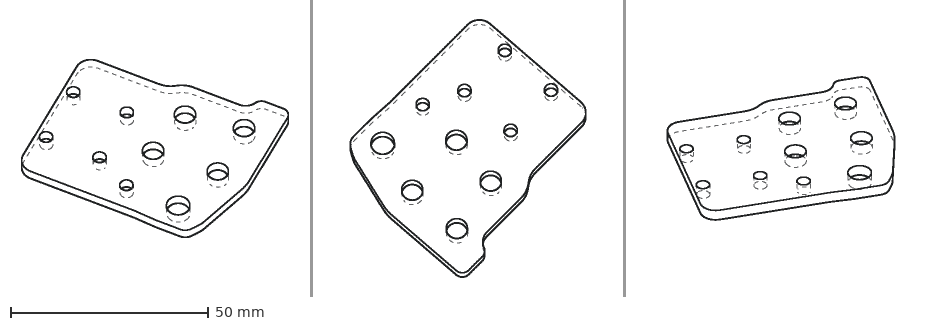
import cadquery as cq

length = 55.3
depth = 46.3
thickness = 3.0

left_level = 39.75
middle_level = 42.6
left_step_start = 21.25
left_step_end = 29.55
tab_step_start = 42.4
tab_step_end = 48.0
left_step_blend = 0.5
tab_step_blend = 0.62
tab_radius = 2.2

left_radius = 4.0
front_level = 0.4
front_slope_start = 33.1
front_slope_end = 39.5

corner_start = (46.25, 0)
corner_middle = (48.65, 1.25)
corner_end = (50.5, 4.3)
slant_top = (54.8, 18.35)
right_side_start = 21.7

small_diameter = 3.4
medium_diameter = 5.4
large_diameter = 6.0
grid_columns = (2.75, 17.8)
grid_rows = (12.05, 28.05)
small_holes = [(x, y) for x in grid_columns for y in grid_rows] + [(27.8, 6.9)]
right_column = 46.8
medium_holes = [(right_column, 36.35), (right_column, 20.9), (31.4, 33.8), (29.15, 19.8)]
large_holes = [(42.45, 6.7)]


def step_down(outline, start, end, blend):
    """Join two parallel edges with tangent arcs, from the upper end to the lower start."""
    junction = tuple(low + blend * (high - low) for low, high in zip(start, end))
    return outline.tangentArcPoint(junction, relative=False).tangentArcPoint(start, relative=False)


def make_plate():
    outline = (
        cq.Workplane("XY")
        .moveTo(left_radius, front_level)
        .lineTo(front_slope_start, front_level)
        .lineTo(front_slope_end, 0)
        .lineTo(*corner_start)
        .tangentArcPoint(corner_middle, relative=False)
        .tangentArcPoint(corner_end, relative=False)
        .lineTo(*slant_top)
        .tangentArcPoint((length, right_side_start), relative=False)
        .lineTo(length, depth - tab_radius)
        .tangentArcPoint((length - tab_radius, depth), relative=False)
        .lineTo(tab_step_end, depth)
    )
    outline = step_down(outline, (tab_step_start, middle_level), (tab_step_end, depth), tab_step_blend)
    outline = outline.lineTo(left_step_end, middle_level)
    left_step_low = (left_step_start, left_level)
    left_step_high = (left_step_end, middle_level)
    outline = step_down(outline, left_step_low, left_step_high, left_step_blend)
    outline = (
        outline.lineTo(left_radius, left_level)
        .tangentArcPoint((0, left_level - left_radius), relative=False)
        .lineTo(0, front_level + left_radius)
        .tangentArcPoint((left_radius, front_level), relative=False)
        .close()
    )
    return outline.extrude(thickness)


def drill(plate, centers, diameter):
    cutters = cq.Workplane("XY").pushPoints(centers).circle(diameter / 2).extrude(thickness)
    return plate.cut(cutters)


result = make_plate()
result = drill(result, small_holes, small_diameter)
result = drill(result, medium_holes, medium_diameter)
result = drill(result, large_holes, large_diameter)